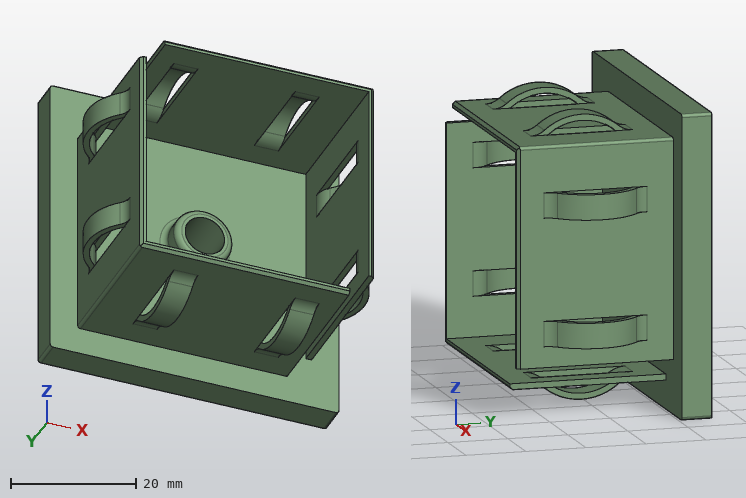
import cadquery as cq
import math

plate_size = 50.0
plate_thickness = 5.0
plate_corner_radius = 0.5

wall_outer = 20.25
wall_free_end = 16.0
wall_thickness = 1.0
wall_length = 26.0
wall_chamfer = 0.5
wall_corner_radius = 0.5
wall_inner = wall_outer - wall_thickness

spring_width = 4.15
spring_offset = 10.5
spring_y = -wall_length / 2
tall_spring = dict(half_span=8.6, rise=3.75, foot_radius=2.75)
low_spring = dict(half_span=8.45, rise=3.05, foot_radius=3.5)

boss_radius = 5.0
boss_length = 4.25
boss_fillet = 1.0
hole_radius = 3.4


def make_plate():
    blank = cq.Workplane("XY").box(plate_size, plate_thickness, plate_size)
    blank = blank.edges("|Y").fillet(plate_corner_radius)
    return blank.translate((0, plate_thickness / 2, 0))


def make_wall_pair():
    """L-shaped walls on the -X and -Z sides, outer tip edges chamfered and corner rounded."""
    outline = [
        (-wall_outer, -wall_outer),
        (wall_free_end, -wall_outer),
        (wall_free_end, -wall_inner),
        (-wall_inner, -wall_inner),
        (-wall_inner, wall_free_end),
        (-wall_outer, wall_free_end),
    ]
    walls = cq.Workplane("XZ").polyline(outline).close().extrude(wall_length)
    outer_tip_edges = walls.faces("<Y").edges("<X or <Z")
    walls = outer_tip_edges.chamfer(wall_chamfer)
    outer_corner = cq.selectors.NearestToPointSelector((-wall_outer, -wall_length / 2, -wall_outer))
    return walls.edges(outer_corner).fillet(wall_corner_radius)


def make_spring(half_span, rise, foot_radius):
    """Strip on the -X wall at Z = 0: a crown arc that meets two foot arcs tangent to the wall."""
    radius_sum = (half_span**2 + rise**2) / (2 * rise)
    crown_radius = radius_sum - foot_radius
    crown_centre = wall_outer + rise - crown_radius
    foot_centre = wall_outer + foot_radius
    turn = math.asin(half_span / radius_sum)

    def crown_point(radius, angle):
        return (-crown_centre - radius * math.cos(angle), spring_y + radius * math.sin(angle))

    def foot_point(radius, angle, side):
        return (-foot_centre + radius * math.cos(angle),
                spring_y + side * (half_span - radius * math.sin(angle)))

    crown_inner = crown_radius - wall_thickness
    foot_inner = foot_radius + wall_thickness
    profile = (
        cq.Workplane("XY")
        .moveTo(*foot_point(foot_radius, 0, -1))
        .threePointArc(foot_point(foot_radius, turn / 2, -1), crown_point(crown_radius, -turn))
        .threePointArc(crown_point(crown_radius, 0), crown_point(crown_radius, turn))
        .threePointArc(foot_point(foot_radius, turn / 2, 1), foot_point(foot_radius, 0, 1))
        .lineTo(*foot_point(foot_inner, 0, 1))
        .threePointArc(foot_point(foot_inner, turn / 2, 1), crown_point(crown_inner, turn))
        .threePointArc(crown_point(crown_inner, 0), crown_point(crown_inner, -turn))
        .threePointArc(foot_point(foot_inner, turn / 2, -1), foot_point(foot_inner, 0, -1))
        .close()
    )
    return profile.extrude(spring_width / 2, both=True)


def make_window(half_span):
    """Opening in the -X wall at Z = 0 that a spring strip is cut from."""
    window = cq.Workplane("XY").box(wall_thickness, 2 * half_span, spring_width)
    return window.translate((-(wall_outer + wall_inner) / 2, spring_y, 0))


def turned(solid, angle):
    return solid.rotate((0, 0, 0), (0, 1, 0), angle)


def make_boss():
    """Round boss with a concave fillet at the plate and a rounded tip."""
    bend = boss_fillet * (1 - math.sqrt(0.5))
    base_radius = boss_radius + boss_fillet
    profile = (
        cq.Workplane("XY")
        .moveTo(0, 0)
        .lineTo(base_radius, 0)
        .threePointArc((boss_radius + bend, -bend), (boss_radius, -boss_fillet))
        .lineTo(boss_radius, boss_fillet - boss_length)
        .threePointArc((boss_radius - bend, bend - boss_length), (boss_radius - boss_fillet, -boss_length))
        .lineTo(0, -boss_length)
        .close()
    )
    return profile.revolve(360, (0, 0, 0), (0, 1, 0))


def make_hole():
    hole = cq.Workplane("XZ").circle(hole_radius).extrude(boss_length + plate_thickness)
    return hole.translate((0, plate_thickness, 0))


wall_pair = make_wall_pair()
result = make_plate().union(wall_pair).union(turned(wall_pair, 180))

for angle in (0, 90, 180, 270):
    spring_size = tall_spring if angle % 180 == 0 else low_spring
    window = make_window(spring_size["half_span"])
    spring = make_spring(**spring_size)
    for z in (-spring_offset, spring_offset):
        result = result.cut(turned(window.translate((0, 0, z)), angle))
        result = result.union(turned(spring.translate((0, 0, z)), angle))

result = result.union(make_boss()).cut(make_hole())